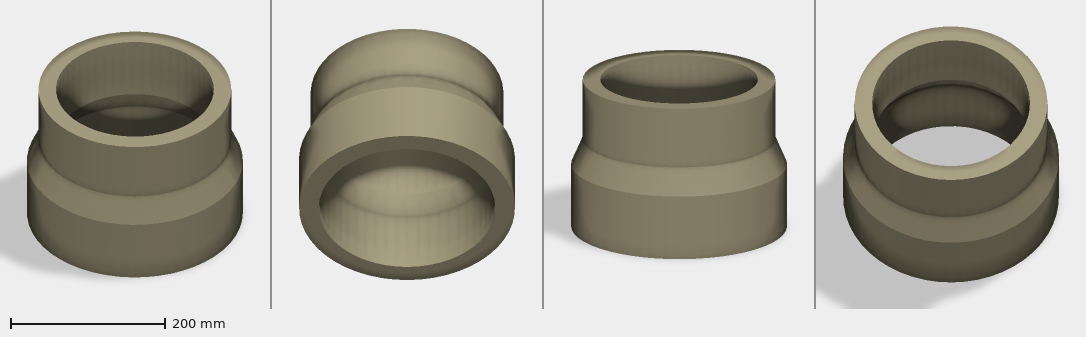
import cadquery as cq

total_height = 200.0
large_outer_diameter = 280.0
small_outer_diameter = 250.0

large_wall = 25.5
small_wall = 22.7

large_spigot_height = 85.0
small_spigot_height = 79.8

bore_taper_bottom = 86.5
small_bore_depth = 84.5

large_outer_radius = large_outer_diameter / 2
small_outer_radius = small_outer_diameter / 2
large_bore_radius = large_outer_radius - large_wall
small_bore_radius = small_outer_radius - small_wall

half_section = [
    (large_bore_radius, 0),
    (large_outer_radius, 0),
    (large_outer_radius, large_spigot_height),
    (small_outer_radius, total_height - small_spigot_height),
    (small_outer_radius, total_height),
    (small_bore_radius, total_height),
    (small_bore_radius, total_height - small_bore_depth),
    (large_bore_radius, bore_taper_bottom),
]

result = cq.Workplane("XZ").polyline(half_section).close().revolve(360, (0, 0, 0), (0, 1, 0))